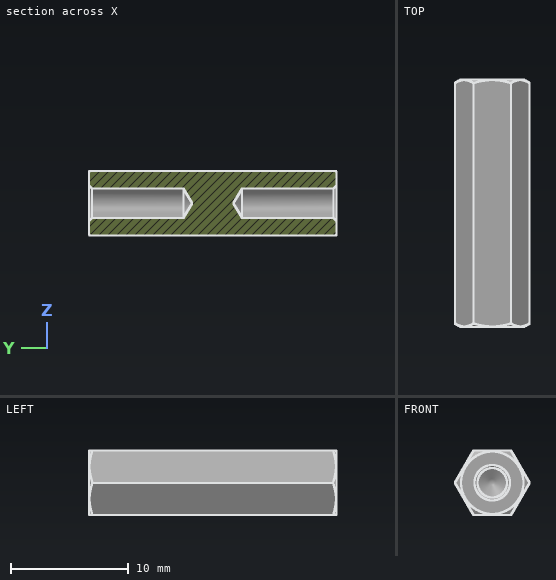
import cadquery as cq
import math

length = 21.0
across_flats = 5.5
across_corners = across_flats / math.cos(math.radians(30))

end_face_diameter = 5.3
trim_angle = 30.0

bore_diameter = 2.5
countersink_diameter = 3.0
bore_depth = 8.0
drill_point_angle = 118.0


def revolve_about_y(points):
    """Revolve a closed radius/axial profile about the Y axis."""
    return cq.Workplane("XY").polyline(points).close().revolve(360, (0, 0, 0), (0, 1, 0))


def hexagon_bar():
    """Bar centred on the origin, with corners on X and flats facing Z."""
    return cq.Workplane("XZ").polygon(6, across_corners).extrude(length / 2, both=True)


def corner_trim_envelope():
    """Cylinder with conical ends that bounds the trimmed bar."""
    half_length = length / 2
    face_radius = end_face_diameter / 2
    outer_radius = across_corners / 2 + 0.2
    trim_depth = (outer_radius - face_radius) * math.tan(math.radians(trim_angle))
    return revolve_about_y([
        (0, -half_length),
        (face_radius, -half_length),
        (outer_radius, -half_length + trim_depth),
        (outer_radius, half_length - trim_depth),
        (face_radius, half_length),
        (0, half_length),
    ])


def front_bore():
    """Countersunk blind bore with a drill point, entering the -Y end."""
    mouth = -length / 2
    bore_radius = bore_diameter / 2
    countersink_radius = countersink_diameter / 2
    countersink_depth = countersink_radius - bore_radius
    point_depth = bore_radius / math.tan(math.radians(drill_point_angle / 2))
    return revolve_about_y([
        (0, mouth),
        (countersink_radius, mouth),
        (bore_radius, mouth + countersink_depth),
        (bore_radius, mouth + bore_depth),
        (0, mouth + bore_depth + point_depth),
    ])


bore = front_bore()
result = hexagon_bar().intersect(corner_trim_envelope()).cut(bore).cut(bore.mirror("XZ"))